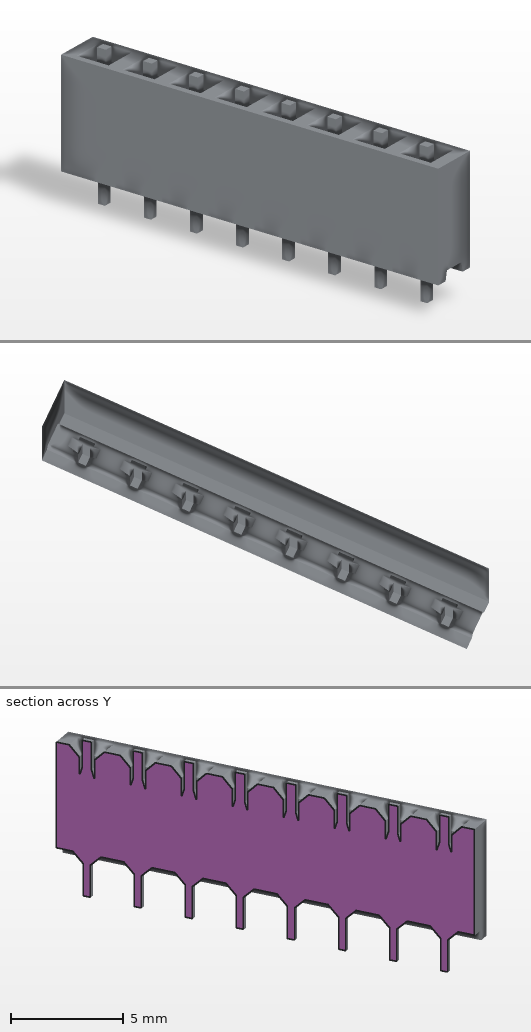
import cadquery as cq

pin_count = 8
pin_pitch = 2.55
housing_length = 20.82
housing_width = 2.4
housing_height = 5.7

channel_depth = 0.5
channel_roof_width = 1.08
channel_mouth_width = 1.3

funnel_width = 1.75
hole_width = 0.75
funnel_depth = (funnel_width - hole_width) / 2

pin_thickness = 0.44
tip_width = 0.48
tip_height = 0.35
tail_width = 0.37
tail_length = 1.58
blade_width = 1.42
blade_shoulder_slope = 2.9
shoulder_depth = 1.0

housing_top = housing_height
tip_top = housing_top + tip_height
shoulder_top = housing_top - shoulder_depth
shoulder_bottom = shoulder_top - blade_shoulder_slope * (blade_width - tip_width) / 2

pin_positions = [((i - (pin_count - 1) / 2) * pin_pitch, 0) for i in range(pin_count)]


def make_housing():
    block = cq.Workplane("XY").box(
        housing_length, housing_width, housing_height, centered=(True, True, False)
    )
    channel = (
        cq.Workplane("YZ")
        .polyline([
            (-channel_mouth_width / 2, 0),
            (-channel_roof_width / 2, channel_depth),
            (channel_roof_width / 2, channel_depth),
            (channel_mouth_width / 2, 0),
        ])
        .close()
        .extrude(housing_length / 2, both=True)
    )
    return block.cut(channel)


def make_socket():
    hole = cq.Workplane("XY").rect(hole_width, hole_width).extrude(housing_height)
    funnel = (
        cq.Workplane("XY", origin=(0, 0, housing_top))
        .rect(funnel_width, funnel_width)
        .workplane(offset=-funnel_depth)
        .rect(hole_width, hole_width)
        .loft(ruled=True)
    )
    return hole.union(funnel)


def make_pin():
    right_side = [
        (tail_width / 2, -tail_length),
        (tail_width / 2, 0),
        (blade_width / 2, channel_depth),
        (blade_width / 2, shoulder_bottom),
        (tip_width / 2, shoulder_top),
        (tip_width / 2, tip_top),
    ]
    left_side = [(-x, z) for x, z in reversed(right_side)]
    return (
        cq.Workplane("XZ")
        .polyline(right_side + left_side)
        .close()
        .extrude(pin_thickness / 2, both=True)
    )


def at_each_pin(shape):
    return cq.Workplane("XY").pushPoints(pin_positions).eachpoint(
        lambda location: shape.val().moved(location)
    )


result = make_housing().cut(at_each_pin(make_socket())).union(at_each_pin(make_pin()))